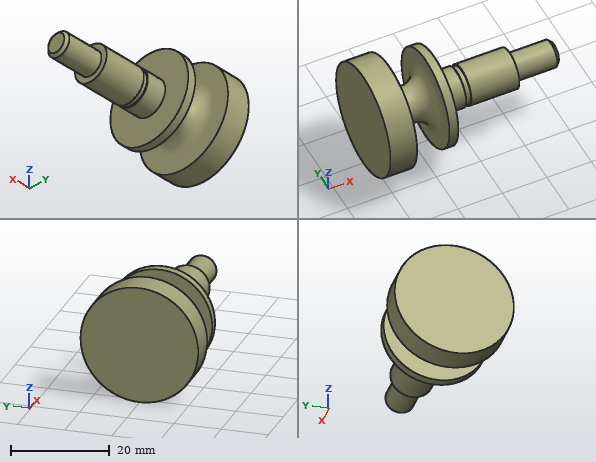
import cadquery as cq

total_length = 43.0
head_length = 6.0
neck_radius = 4.0
flange_length = 2.0
groove_offset = 5.0
groove_width = 1.15
pin_length = 10.0
pin_chamfer = 0.75

head_diameter = 25.0
neck_diameter = 8.0
flange_diameter = 22.0
shaft_diameter = 9.0
groove_diameter = 8.4
pin_diameter = 6.0

neck_end = head_length + 2 * neck_radius
flange_end = neck_end + flange_length
groove_start = flange_end + groove_offset
shaft_end = total_length - pin_length
neck_edge_radius = neck_diameter / 2 + neck_radius


def cylinder(start, end, diameter):
    """Solid cylinder on the X axis between two stations."""
    return cq.Workplane("YZ", origin=(start, 0, 0)).circle(diameter / 2).extrude(end - start)


def concave_neck():
    """Waist between head and flange, with a semicircular profile."""
    return (
        cq.Workplane("XY")
        .moveTo(head_length, 0)
        .lineTo(head_length, neck_edge_radius)
        .threePointArc((head_length + neck_radius, neck_diameter / 2), (neck_end, neck_edge_radius))
        .lineTo(neck_end, 0)
        .close()
        .revolve(360, (0, 0, 0), (1, 0, 0))
    )


def grooved_shaft():
    """Shaft with a shallow ring groove."""
    groove_end = groove_start + groove_width
    return (
        cylinder(flange_end, groove_start, shaft_diameter)
        .union(cylinder(groove_start, groove_end, groove_diameter))
        .union(cylinder(groove_end, shaft_end, shaft_diameter))
    )


head = cylinder(0, head_length, head_diameter)
flange = cylinder(neck_end, flange_end, flange_diameter)
pin = cylinder(shaft_end, total_length, pin_diameter).faces(">X").chamfer(pin_chamfer)

result = head.union(concave_neck()).union(flange).union(grooved_shaft()).union(pin)